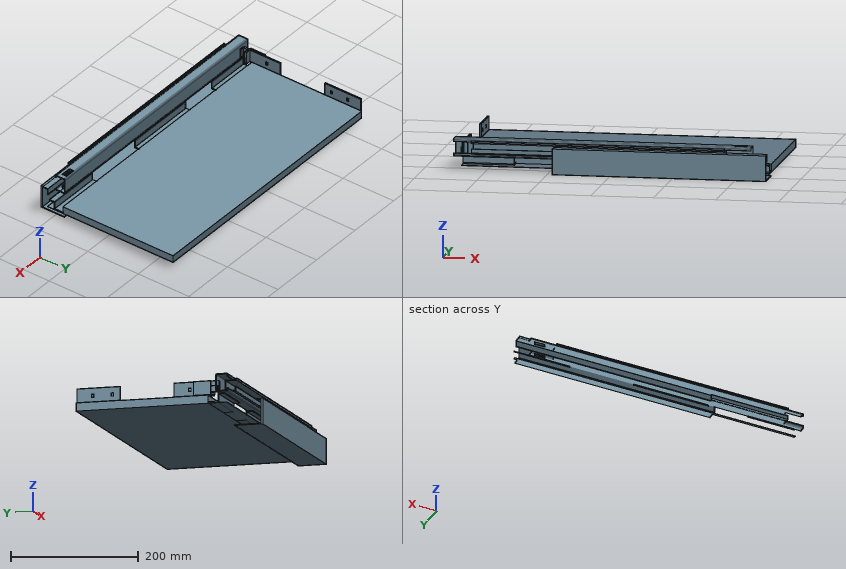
import cadquery as cq

TOTAL_LENGTH = 501.5
TOTAL_WIDTH = 262.5
TOTAL_HEIGHT = 51.5
SHEET = 1.5

RAIL_LENGTH = 475.0
RAIL_FRONT_Y = 8.5
RAIL_BACK_Y = 28.5
RAIL_BOTTOM_Z = 23.0
RAIL_LIP = 5.0
RAIL_BEND = 2.5
RAIL_WEB_Y = RAIL_BACK_Y - SHEET

WINDOW_START_X = 448.5
WINDOW_LENGTH = 17.5
WINDOW_FRONT_Y = 15.5
WINDOW_WIDTH = 9.0

MIDDLE_START_X = 29.0
MIDDLE_END_X = 433.5
MIDDLE_BACK_Y = 22.0
MIDDLE_TOP_Z = TOTAL_HEIGHT - RAIL_LIP
MIDDLE_BOTTOM_Z = RAIL_BOTTOM_Z + RAIL_LIP
UPPER_LIP_Y = 3.0
UPPER_LIP_TOP_Z = 49.0
LOWER_LIP_Y = 4.5
LOWER_LIP_TOP_Z = 36.0

PANEL_START_X = 159.0
PANEL_END_X = 500.0
PANEL_WALL = 3.0
PANEL_TOP_Z = 41.0
PANEL_FOOT_WIDTH = 46.0
PANEL_HOOK_Y = 14.0
PANEL_HOOK_BOTTOM_Z = MIDDLE_BOTTOM_Z + SHEET

SHELF_START_X = 11.5
SHELF_FRONT_Y = 44.5
SHELF_BOTTOM_Z = 7.5
SHELF_TOP_Z = 20.5
LEDGE_FRONT_Y = 14.0
LEDGE_THICKNESS = 0.5
LEDGE_TOP_Z = SHELF_BOTTOM_Z + LEDGE_THICKNESS
SHELF_CORNER_RADIUS = 1.5

BRACKET_SPANS = [(SHELF_START_X, 93.5), (161.5, 293.0), (403.0, TOTAL_LENGTH)]
BRACKET_FRONT_Y = 17.5
BRACKET_FOOT = 2.0
BRACKET_BEND = 1.5

PLATE_START_X = 9.5
PLATE_THICKNESS = 2.5
PLATE_END_X = PLATE_START_X + PLATE_THICKNESS
PLATE_TOP_Z = 42.5
FAR_PLATE_Y = (189.0, 260.0)
NEAR_PLATE_Y = (39.0, 100.5)
FAR_SLOT_Y = [202.0, 234.0]
NEAR_SLOT_Y = [74.0]
SLOT_Z = 30.5
SLOT_WIDTH = 3.5
SLOT_HEIGHT = 5.0

ARM_BOTTOM_Z = 25.0
HEEL_Y = 33.0
HEEL_TOP_Z = 23.5
ARM_END_X = 13.0
FOOT_START_X = 11.5
FOOT_END_X = 19.0
RETURN_END_X = 20.5
RETURN_LIP_X = 15.5
RETURN_BACK_Y = 41.0
RETURN_LIP_DROP = 2.0

COVER_START_X = 7.0
COVER_BACK_Y = 67.5
TAB_START_X = 8.5
TAB_TOP_Z = 34.5


def box(x_span, y_span, z_span):
    """Block between the two limits given on each axis."""
    return (
        cq.Workplane("XY")
        .box(
            x_span[1] - x_span[0],
            y_span[1] - y_span[0],
            z_span[1] - z_span[0],
            centered=False,
        )
        .translate((x_span[0], y_span[0], z_span[0]))
    )


def profile_bar(points, x_start, x_end):
    """Bar along X from a closed outline of (Y, Z) points."""
    return (
        cq.Workplane("YZ", origin=(x_start, 0, 0))
        .polyline(points)
        .close()
        .extrude(x_end - x_start)
    )


def foot_in_web():
    """Foot of the near plate, also the opening it fills in the rail web."""
    return box((FOOT_START_X, FOOT_END_X), (RAIL_WEB_Y, RAIL_BACK_Y), (ARM_BOTTOM_Z, PLATE_TOP_Z))


def tab_in_web():
    """End of the cover plate tab, also the opening it fills in the rail web."""
    return box((TAB_START_X, PLATE_START_X), (RAIL_WEB_Y, RAIL_BACK_Y), (ARM_BOTTOM_Z, TAB_TOP_Z))


def make_outer_rail():
    full_length = (0, RAIL_LENGTH)
    rail = box(full_length, (RAIL_FRONT_Y, RAIL_BACK_Y), (RAIL_BOTTOM_Z, TOTAL_HEIGHT))
    rail = rail.edges("|X").fillet(RAIL_BEND)
    cavity = box(
        full_length,
        (RAIL_FRONT_Y + SHEET, RAIL_WEB_Y),
        (RAIL_BOTTOM_Z + SHEET, TOTAL_HEIGHT - SHEET),
    )
    cavity = cavity.edges("|X").fillet(RAIL_BEND - SHEET)
    mouth = box(
        full_length,
        (RAIL_FRONT_Y, RAIL_FRONT_Y + SHEET),
        (RAIL_BOTTOM_Z + RAIL_LIP, TOTAL_HEIGHT - RAIL_LIP),
    )
    rail = rail.cut(cavity).cut(mouth)

    window_x = (WINDOW_START_X, WINDOW_START_X + WINDOW_LENGTH)
    window_y = (WINDOW_FRONT_Y, WINDOW_FRONT_Y + WINDOW_WIDTH)
    tab_y = (WINDOW_FRONT_Y, WINDOW_FRONT_Y + SHEET)
    rail = rail.cut(box(window_x, window_y, (RAIL_BOTTOM_Z, RAIL_BOTTOM_Z + SHEET)))
    rail = rail.cut(box(window_x, window_y, (TOTAL_HEIGHT - SHEET, TOTAL_HEIGHT)))
    rail = rail.union(box(window_x, tab_y, (RAIL_BOTTOM_Z, MIDDLE_BOTTOM_Z)))
    rail = rail.union(box(window_x, tab_y, (MIDDLE_TOP_Z, TOTAL_HEIGHT)))
    return rail.cut(foot_in_web()).cut(tab_in_web())


def make_middle_rail():
    outline = [
        (MIDDLE_BACK_Y, MIDDLE_BOTTOM_Z),
        (MIDDLE_BACK_Y, MIDDLE_TOP_Z),
        (UPPER_LIP_Y + SHEET, MIDDLE_TOP_Z),
        (UPPER_LIP_Y + SHEET, UPPER_LIP_TOP_Z),
        (UPPER_LIP_Y, UPPER_LIP_TOP_Z),
        (UPPER_LIP_Y, MIDDLE_TOP_Z - SHEET),
        (MIDDLE_BACK_Y - SHEET, MIDDLE_TOP_Z - SHEET),
        (MIDDLE_BACK_Y - SHEET, MIDDLE_BOTTOM_Z + SHEET),
        (LOWER_LIP_Y + SHEET, MIDDLE_BOTTOM_Z + SHEET),
        (LOWER_LIP_Y + SHEET, LOWER_LIP_TOP_Z),
        (LOWER_LIP_Y, LOWER_LIP_TOP_Z),
        (LOWER_LIP_Y, MIDDLE_BOTTOM_Z),
    ]
    return profile_bar(outline, MIDDLE_START_X, MIDDLE_END_X)


def make_side_panel():
    outline = [
        (0, 0),
        (PANEL_FOOT_WIDTH, 0),
        (PANEL_FOOT_WIDTH, SHEET),
        (PANEL_WALL, SHEET),
        (PANEL_WALL, PANEL_TOP_Z - SHEET),
        (PANEL_HOOK_Y - SHEET, PANEL_TOP_Z - SHEET),
        (PANEL_HOOK_Y - SHEET, PANEL_HOOK_BOTTOM_Z),
        (PANEL_HOOK_Y, PANEL_HOOK_BOTTOM_Z),
        (PANEL_HOOK_Y, PANEL_TOP_Z),
        (0, PANEL_TOP_Z),
    ]
    return profile_bar(outline, PANEL_START_X, PANEL_END_X)


def make_shelf():
    outline = [
        (LEDGE_FRONT_Y, SHELF_BOTTOM_Z),
        (TOTAL_WIDTH, SHELF_BOTTOM_Z),
        (TOTAL_WIDTH, SHELF_TOP_Z),
        (SHELF_FRONT_Y, SHELF_TOP_Z),
        (SHELF_FRONT_Y, LEDGE_TOP_Z),
        (LEDGE_FRONT_Y, LEDGE_TOP_Z),
    ]
    shelf = profile_bar(outline, SHELF_START_X, TOTAL_LENGTH)
    return shelf.edges("|Z and <X and >Y").fillet(SHELF_CORNER_RADIUS)


def make_bracket(x_start, x_end):
    foot_top_z = LEDGE_TOP_Z + BRACKET_FOOT
    outline = [
        (BRACKET_FRONT_Y, RAIL_BOTTOM_Z),
        (BRACKET_FRONT_Y, RAIL_BOTTOM_Z - SHEET),
        (RAIL_WEB_Y, RAIL_BOTTOM_Z - SHEET),
        (RAIL_WEB_Y, LEDGE_TOP_Z),
        (SHELF_FRONT_Y, LEDGE_TOP_Z),
        (SHELF_FRONT_Y, foot_top_z),
        (RAIL_BACK_Y, foot_top_z),
        (RAIL_BACK_Y, RAIL_BOTTOM_Z),
    ]
    bracket = profile_bar(outline, x_start, x_end)
    top_bend = cq.selectors.NearestToPointSelector(((x_start + x_end) / 2, RAIL_BACK_Y, RAIL_BOTTOM_Z))
    bottom_bend = cq.selectors.NearestToPointSelector(((x_start + x_end) / 2, RAIL_WEB_Y, LEDGE_TOP_Z))
    return bracket.edges(top_bend + bottom_bend).fillet(BRACKET_BEND)


def make_upright(y_span, slot_centers):
    """Plate standing on the shelf edge, with small rectangular slots."""
    plate_x = (PLATE_START_X, PLATE_END_X)
    plate = box(plate_x, y_span, (SHELF_TOP_Z, PLATE_TOP_Z))
    slot_z = (SLOT_Z - SLOT_HEIGHT / 2, SLOT_Z + SLOT_HEIGHT / 2)
    for center in slot_centers:
        plate = plate.cut(box(plate_x, (center - SLOT_WIDTH / 2, center + SLOT_WIDTH / 2), slot_z))
    return plate


def make_near_plate():
    plate = make_upright(NEAR_PLATE_Y, NEAR_SLOT_Y)
    plate_x = (PLATE_START_X, PLATE_END_X)
    inner_y = NEAR_PLATE_Y[0]
    full_height = (SHELF_TOP_Z, PLATE_TOP_Z)

    arm_x = (PLATE_START_X, ARM_END_X)
    plate = plate.union(box(arm_x, (RAIL_BACK_Y, inner_y), (ARM_BOTTOM_Z, PLATE_TOP_Z)))
    plate = plate.union(box(plate_x, (HEEL_Y, inner_y), (SHELF_TOP_Z, HEEL_TOP_Z)))
    plate = plate.union(foot_in_web())

    plate = plate.union(box((PLATE_START_X, RETURN_END_X), (inner_y, RETURN_BACK_Y), full_height))
    lip_y = (inner_y - RETURN_LIP_DROP, inner_y)
    return plate.union(box((RETURN_LIP_X, RETURN_END_X), lip_y, full_height))


def make_cover_plate():
    inner_y = NEAR_PLATE_Y[0]
    cover = box((COVER_START_X, PLATE_START_X), (inner_y, COVER_BACK_Y), (SHELF_TOP_Z, PLATE_TOP_Z))
    tab = box((TAB_START_X, PLATE_START_X), (RAIL_BACK_Y, inner_y), (ARM_BOTTOM_Z, TAB_TOP_Z))
    return cover.union(tab).union(tab_in_web())


outer_rail = make_outer_rail()
middle_rail = make_middle_rail()
side_panel = make_side_panel()
shelf = make_shelf()
brackets = [make_bracket(x_start, x_end) for x_start, x_end in BRACKET_SPANS]
far_plate = make_upright(FAR_PLATE_Y, FAR_SLOT_Y)
near_plate = make_near_plate()
cover_plate = make_cover_plate()

result = cq.Compound.makeCompound(
    [
        outer_rail.val(),
        middle_rail.val(),
        side_panel.val(),
        shelf.val(),
        *[bracket.val() for bracket in brackets],
        far_plate.val(),
        near_plate.val(),
        cover_plate.val(),
    ]
)